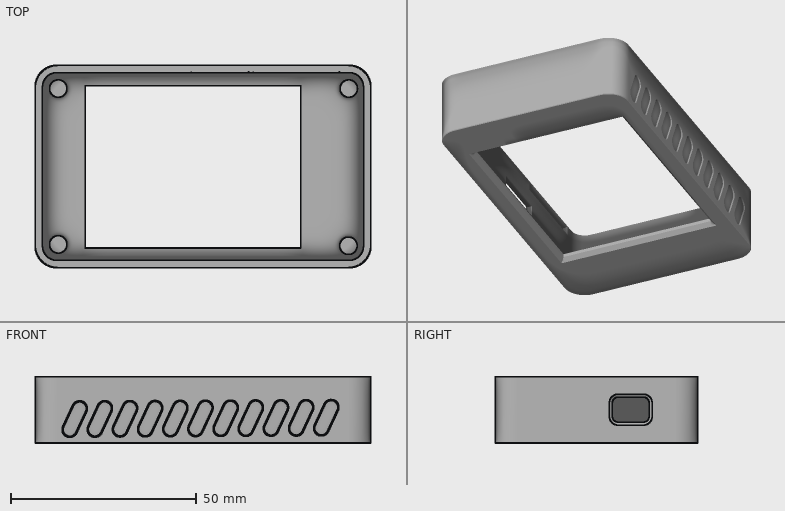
import cadquery as cq
LENGTH = 90.6
WIDTH = 54.6
HEIGHT = 17.9
CORNER_RADIUS = 5.9
WALL = 2.0
FLOOR = 2.0
BOTTOM_CHAMFER = 0.2
BEVEL_ANGLE = 45.0

WINDOW_LEFT = -31.7
WINDOW_RIGHT = 26.4
WINDOW_FRONT = -21.9
WINDOW_BACK = 21.7
WINDOW_BEVEL = 1.1

PIN_DIAMETER = 4.7
PIN_HEIGHT = 3.2
PIN_CENTRES = [(-39.05, 21.0), (-39.05, -21.0), (39.3, 21.0), (39.2, -21.4)]

GROOVE_COUNT = 11
GROOVE_LENGTH = 10.4
GROOVE_WIDTH = 4.2
GROOVE_ANGLE = 65.0
GROOVE_DEPTH = 0.3
FIRST_GROOVE_X = -34.6
FIRST_GROOVE_Z = 6.5
GROOVE_ROW_RUN = 67.9
GROOVE_ROW_RISE = 0.4
GROOVE_STEP_X = GROOVE_ROW_RUN / (GROOVE_COUNT - 1)
GROOVE_STEP_Z = GROOVE_ROW_RISE / (GROOVE_COUNT - 1)

CARD_CENTRE_X = 5.2
CARD_CENTRE_Z = 9.3
CARD_LENGTH = 16.8
CARD_HEIGHT = 3.1
CARD_BEVEL = 0.7

SNAP_CENTRE_X = 24.55
SNAP_LENGTH = 24.8
SNAP_CENTRE_Z = 16.6
SNAP_HEIGHT = 2.7
SNAP_DEPTH = 1.0

PORT_CENTRE_Y = 9.2
PORT_CENTRE_Z = 9.1
PORT_WIDTH = 9.9
PORT_HEIGHT = 6.7
PORT_RADIUS = 1.45
PORT_BEVEL = 0.8


def rounded_block(length, width, height, corner_radius=0.0, taper=0.0):
    """A block standing on z = 0, with optional rounded corners and inward-leaning sides."""
    outline = cq.Sketch().rect(length, width)
    if corner_radius:
        outline = outline.vertices().fillet(corner_radius)
    return cq.Workplane("XY").placeSketch(outline).extrude(height, taper=taper)


def bevelled_opening(length, width, thickness, bevel, corner_radius=0.0):
    """A cutter through a wall whose outer face is at z = 0, where the opening widens by `bevel`."""
    opening = rounded_block(length, width, thickness, corner_radius)
    mouth_radius = corner_radius + bevel if corner_radius else 0.0
    mouth = rounded_block(length + 2 * bevel, width + 2 * bevel, bevel, mouth_radius, BEVEL_ANGLE)
    return opening.union(mouth)


def case():
    outside = rounded_block(LENGTH, WIDTH, HEIGHT, CORNER_RADIUS)
    outside = outside.faces("<Z").edges().chamfer(BOTTOM_CHAMFER)
    cavity = rounded_block(LENGTH - 2 * WALL, WIDTH - 2 * WALL, HEIGHT, CORNER_RADIUS - WALL)
    return outside.cut(cavity.translate((0, 0, FLOOR)))


def display_window():
    length = WINDOW_RIGHT - WINDOW_LEFT
    width = WINDOW_BACK - WINDOW_FRONT
    centre_x = (WINDOW_LEFT + WINDOW_RIGHT) / 2
    centre_y = (WINDOW_FRONT + WINDOW_BACK) / 2
    window = bevelled_opening(length, width, FLOOR, WINDOW_BEVEL)
    return window.translate((centre_x, centre_y, 0))


def pins():
    return (
        cq.Workplane("XY")
        .pushPoints(PIN_CENTRES)
        .circle(PIN_DIAMETER / 2)
        .extrude(FLOOR + PIN_HEIGHT)
    )


def wall_grooves():
    centres = [
        (FIRST_GROOVE_X + i * GROOVE_STEP_X, FIRST_GROOVE_Z + i * GROOVE_STEP_Z)
        for i in range(GROOVE_COUNT)
    ]
    return (
        cq.Workplane("XZ", origin=(0, -WIDTH / 2, 0))
        .pushPoints(centres)
        .slot2D(GROOVE_LENGTH, GROOVE_WIDTH, GROOVE_ANGLE)
        .extrude(-GROOVE_DEPTH, taper=BEVEL_ANGLE)
    )


def card_slot():
    slot = bevelled_opening(CARD_LENGTH, CARD_HEIGHT, WALL, CARD_BEVEL)
    slot = slot.rotate((0, 0, 0), (1, 0, 0), 90)
    return slot.translate((CARD_CENTRE_X, WIDTH / 2, CARD_CENTRE_Z))


def snap_recess():
    recess = rounded_block(SNAP_LENGTH, SNAP_HEIGHT, SNAP_DEPTH, taper=BEVEL_ANGLE)
    recess = recess.rotate((0, 0, 0), (1, 0, 0), -90)
    return recess.translate((SNAP_CENTRE_X, WIDTH / 2 - WALL, SNAP_CENTRE_Z))


def connector_port():
    port = bevelled_opening(PORT_HEIGHT, PORT_WIDTH, WALL, PORT_BEVEL, PORT_RADIUS)
    port = port.rotate((0, 0, 0), (0, 1, 0), -90)
    return port.translate((LENGTH / 2, PORT_CENTRE_Y, PORT_CENTRE_Z))


result = (
    case()
    .union(pins())
    .cut(display_window())
    .cut(wall_grooves())
    .cut(card_slot())
    .cut(snap_recess())
    .cut(connector_port())
)